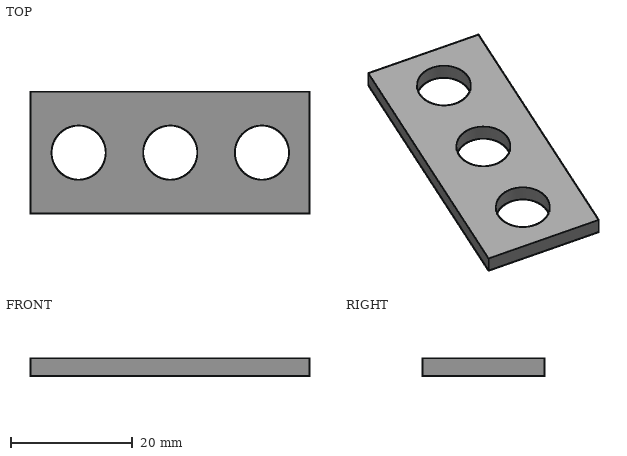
import cadquery as cq

length = 45.95
width = 20.1
thickness = 3.0

hole_diameter = 8.85
hole_spacing = 15.1
hole_count = 3
row_offset = 0.05

plate = cq.Workplane("XY").box(length, width, thickness)

result = (
    plate.faces(">Z")
    .workplane()
    .center(row_offset, 0)
    .rarray(hole_spacing, width, hole_count, 1)
    .hole(hole_diameter)
)